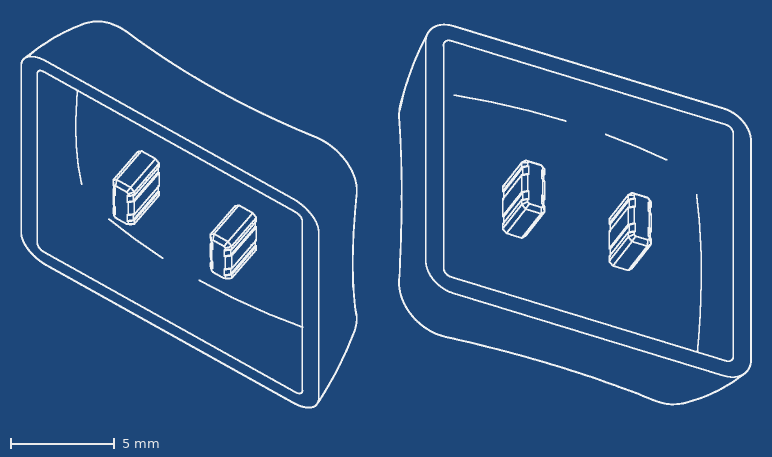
import cadquery as cq
import math

WIDTH = 17.45
HEIGHT = 16.45
WALL = 0.96
OUTER_RIM_RADIUS = 1.48
INNER_RIM_RADIUS = 0.4

MID_LEVEL = 2.3
MID_INSET_X = 0.14
MID_INSET_Z = 0.21
MID_RADIUS = 2.27
TOP_LEVEL = 5.24
TOP_INSET_X = 0.75
TOP_INSET_Z = 1.13
TOP_RADIUS = 2.97
EDGE_FILLET = 1.25

DISH_LEVEL = 3.26
DISH_RADIUS_X = 31.06
DISH_RADIUS_Z = 27.57

ROOF_THICKNESS = 1.5
FLAT_LEVEL = 2.3
FLAT_CUT_SIDE = 13.26
CAVITY_TOP_LEVEL = 3.49
CAVITY_INSET_X = 0.26
CAVITY_INSET_Z = 0.38
CAVITY_RADIUS = 2.1
ROOF_FILLET = 0.21

PRONG_SPACING = 5.7
PRONG_WIDTH = 1.24
PRONG_HEIGHT = 3.0
PRONG_ROOT = 0.17
PRONG_LENGTH = FLAT_LEVEL + PRONG_ROOT
PRONG_CHAMFER = 0.21
GROOVE_WIDTH = 0.49
GROOVE_DEPTH = 0.061
GROOVE_OFFSET = 0.77


def skin(sections):
    """Smooth solid through rounded rectangles given as (width, height, radius, Y level)."""
    wires = []
    for width, height, radius, level in sections:
        rectangle = cq.Sketch().rect(width, height).vertices().fillet(radius)
        plane = cq.Plane(origin=(0, level, 0), xDir=(1, 0, 0), normal=(0, -1, 0))
        wires += [face.outerWire().moved(plane.location) for face in rectangle]
    return cq.Workplane(cq.Solid.makeLoft(wires))


def above_dish(level, radius_x, radius_z):
    """Everything on the +Y side of a dish whose deepest point is at Y = level.

    An arc curved along Z is swung about an axis parallel to Z to curve it along X.
    """
    reach = 0.6 * HEIGHT
    arc_end = level + radius_z - math.sqrt(radius_z**2 - reach**2)
    axis = level + radius_x
    return (
        cq.Workplane("YZ")
        .moveTo(arc_end, -reach)
        .threePointArc((level, 0), (arc_end, reach))
        .lineTo(axis, reach)
        .lineTo(axis, -reach)
        .close()
        .revolve(360, (axis, -reach), (axis, reach))
    )


def outer_body():
    body = skin(
        [
            (WIDTH, HEIGHT, OUTER_RIM_RADIUS, 0),
            (WIDTH - 2 * MID_INSET_X, HEIGHT - 2 * MID_INSET_Z, MID_RADIUS, MID_LEVEL),
            (WIDTH - 2 * TOP_INSET_X, HEIGHT - 2 * TOP_INSET_Z, TOP_RADIUS, TOP_LEVEL),
        ]
    )
    body = body.cut(above_dish(DISH_LEVEL, DISH_RADIUS_X, DISH_RADIUS_Z))
    return body.faces(">Y").edges().fillet(EDGE_FILLET)


def cavity():
    width = WIDTH - 2 * WALL
    height = HEIGHT - 2 * WALL
    top_width = width - 2 * CAVITY_INSET_X
    top_height = height - 2 * CAVITY_INSET_Z
    space = skin(
        [
            (width, height, INNER_RIM_RADIUS, 0),
            (top_width, top_height, CAVITY_RADIUS, CAVITY_TOP_LEVEL),
        ]
    )
    roof = above_dish(
        DISH_LEVEL - ROOF_THICKNESS,
        DISH_RADIUS_X + ROOF_THICKNESS,
        DISH_RADIUS_Z + ROOF_THICKNESS,
    )
    space = space.cut(roof).faces(">Y").edges().fillet(ROOF_FILLET)
    flat_cut = cq.Workplane("XZ").rect(FLAT_CUT_SIDE, FLAT_CUT_SIDE).extrude(-FLAT_LEVEL)
    return space.union(flat_cut)


def prong_block(width):
    block = cq.Workplane("XZ").rect(width, PRONG_HEIGHT).extrude(-PRONG_LENGTH)
    block = block.edges("|Y").chamfer(PRONG_CHAMFER)
    return block.faces("<Y").edges().chamfer(PRONG_CHAMFER)


def prong():
    """Chamfered post whose side grooves expose a narrower post of the same form."""
    groove_bands = (
        cq.Workplane("XZ")
        .pushPoints([(0, -GROOVE_OFFSET), (0, GROOVE_OFFSET)])
        .rect(PRONG_WIDTH, GROOVE_WIDTH)
        .extrude(-PRONG_LENGTH)
    )
    core = prong_block(PRONG_WIDTH - 2 * GROOVE_DEPTH)
    return prong_block(PRONG_WIDTH).cut(groove_bands).union(core)


result = outer_body().cut(cavity())
for x in (-PRONG_SPACING / 2, PRONG_SPACING / 2):
    result = result.union(prong().translate((x, 0, 0)))